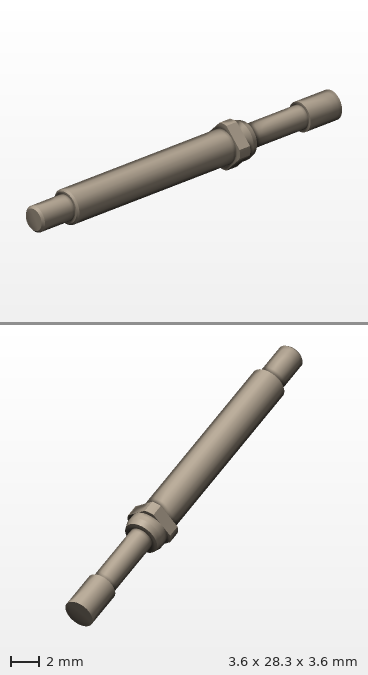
import cadquery as cq

total_length = 28.3
tail_length = 3.0
flange_thickness = 1.0
collar_length = 1.05
taper_length = 0.45
shank_length = 5.25
head_length = 3.0
head_start = total_length - head_length
collar_end = head_start - shank_length
flange_end = collar_end - collar_length
flange_start = flange_end - flange_thickness

tail_diameter = 2.0
barrel_diameter = 2.7
collar_diameter = 3.0
collar_end_diameter = 2.7
shank_diameter = 1.85
head_diameter = 2.3
flange_diameter = 3.6
flange_across_flats = 3.0

tail_chamfer = 0.17
barrel_chamfer = 0.15


def cylinder(diameter, start, end):
    """Round bar on the Y axis between two positions."""
    plane = cq.Workplane("XZ", origin=(0, start, 0))
    return plane.circle(diameter / 2).extrude(start - end)


def square_flange():
    """Square standing on a corner, with its corners rounded by a cylinder."""
    square = (
        cq.Workplane("XZ", origin=(0, flange_start, 0))
        .transformed(rotate=(0, 0, 45))
        .rect(flange_across_flats, flange_across_flats)
        .extrude(-flange_thickness)
    )
    return square.intersect(cylinder(flange_diameter, flange_start, flange_end))


def tapered_collar():
    """Round collar narrowing toward the shank."""
    taper_start = collar_end - taper_length
    taper = (
        cq.Workplane("XZ", origin=(0, taper_start, 0))
        .circle(collar_diameter / 2)
        .workplane(offset=-taper_length)
        .circle(collar_end_diameter / 2)
        .loft(ruled=True)
    )
    return cylinder(collar_diameter, flange_end, taper_start).union(taper)


tail = cylinder(tail_diameter, 0, tail_length).faces("<Y").chamfer(tail_chamfer)
barrel = cylinder(barrel_diameter, tail_length, flange_start).faces("<Y").chamfer(barrel_chamfer)
shank = cylinder(shank_diameter, collar_end, head_start)
head = cylinder(head_diameter, head_start, total_length)

result = tail.union(barrel).union(square_flange()).union(tapered_collar()).union(shank).union(head)